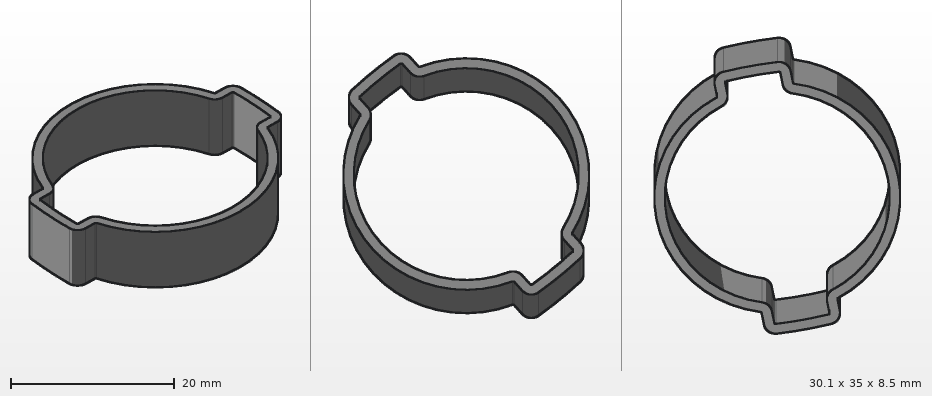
import cadquery as cq
import math


clamp_length = 35.0
ring_diameter = 30.05
band_height = 8.5
wall = 1.3
ear_width = 9.45
ear_end_radius = 52.5
inside_bend_radius = 0.157

outside_bend_radius = inside_bend_radius + wall
ear_half_width = ear_width / 2
ear_tip = clamp_length / 2
ear_bow = ear_end_radius - math.sqrt(ear_end_radius**2 - ear_half_width**2)
ear_corner = ear_tip - ear_bow
ring_radius = ring_diameter / 2
ear_root = math.sqrt(ring_radius**2 - ear_half_width**2)

body = (
    cq.Workplane("XY")
    .moveTo(ear_half_width, ear_corner)
    .threePointArc((0, ear_tip), (-ear_half_width, ear_corner))
    .lineTo(-ear_half_width, ear_root)
    .threePointArc((-ring_radius, 0), (-ear_half_width, -ear_root))
    .lineTo(-ear_half_width, -ear_corner)
    .threePointArc((0, -ear_tip), (ear_half_width, -ear_corner))
    .lineTo(ear_half_width, -ear_root)
    .threePointArc((ring_radius, 0), (ear_half_width, ear_root))
    .close()
    .extrude(band_height)
)

body = body.edges("|Z").edges(">>Y[-2] or <<Y[-2]").fillet(inside_bend_radius)
body = body.edges("|Z").edges(">Y or <Y").fillet(outside_bend_radius)

result = body.faces("|Z").shell(-wall)